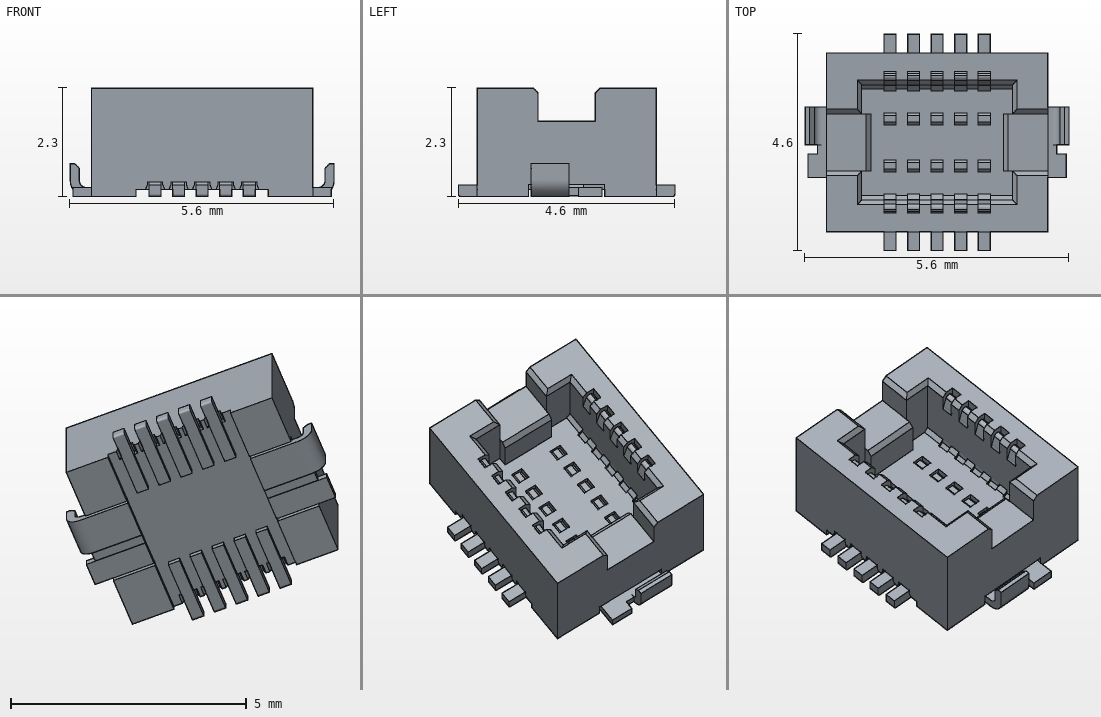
import cadquery as cq
import math

overall_length = 5.6
overall_width = 4.6
height = 2.3

body_length = 4.7
body_width = 3.8
bevel = 0.1

cavity_length = 3.205
cavity_width = 2.44
floor_z = 0.8
floor_bevel = 0.09
end_flare = 0.09

notch_width = 1.21
shelf_z = 1.6
shelf_gap = 2.81

recess_length = 2.8
recess_height = 0.145

contacts_per_row = 5
row_span = 2.0
pitch = row_span / (contacts_per_row - 1)
contact_width = 0.26
tail_height = 0.245
tail_inner_y = 0.895
tail_round = 0.05

pocket_back_y = 1.5
pocket_back_z = 2.07
crest_heel_y = 1.46
crest_heel_z = 2.15
crest_back_y = 1.42
crest_front_y = 1.31
crest_z = 2.18
crest_shoulder_z = 2.13
crest_bulge_z = 2.17
foot_y = 1.25
foot_bend_y = 1.24
foot_bend_z = 1.89
foot_z = 1.93
pocket_bottom_z = 1.855

groove_inner_y = 1.09
groove_depth = 0.1
groove_bend_y = 1.21
groove_bend_height = 0.01

window_inner_y = 0.37
window_outer_y = 0.63
window_slope = 0.06
window_crest_depth = 0.07
window_edge_depth = 0.135

opening_top_z = 0.31
opening_flare_z = 0.26
opening_top_width = 0.325
opening_bottom_width = 0.415
opening_depth = 0.2
ramp_length = 0.07

clip_thickness = 0.195
clip_back_y = 0.755
clip_front_y = -0.75
hook_front_y = -0.05
hook_height = 0.7
hook_bend_radius = 0.335
foot_back_y = -0.245
foot_end_x = 2.745
neck_x = 2.54
neck_underside_z = 0.015
tongue_front_y = -0.36
tongue_end_x = 2.13
slot_width = 1.61
slot_height = 0.25

wall_y = cavity_width / 2
body_side_y = body_width / 2
body_end_x = body_length / 2
contact_xs = [(i - (contacts_per_row - 1) / 2) * pitch for i in range(contacts_per_row)]


def block(x_min, x_max, y_min, y_max, z_min, z_max):
    """Axis-aligned box between the given limits."""
    size = (x_max - x_min, y_max - y_min, z_max - z_min)
    return cq.Workplane("XY").box(*size, centered=False).translate((x_min, y_min, z_min))


def prism_along_x(points, length):
    """Extrude a (y, z) outline along X, centred on X = 0."""
    return cq.Workplane("YZ").polyline(points).close().extrude(length / 2, both=True)


def both_ends(solid):
    """Combine a solid with its mirror image across X = 0."""
    return solid.union(solid.mirror("YZ"))


def both_rows(solid):
    """Copy a single contact feature to every position of both rows."""
    pair = solid.union(solid.mirror("XZ"))
    copies = cq.Workplane("XY")
    for x in contact_xs:
        copies = copies.add(pair.translate((x, 0, 0)))
    return copies.combine()


def make_cavity():
    """Rectangular cavity with a flared rim, floor bevels and end shelves left standing."""
    half_length = cavity_length / 2
    half_gap = shelf_gap / 2
    half_notch = notch_width / 2
    outline = [
        (-wall_y + floor_bevel, floor_z),
        (wall_y - floor_bevel, floor_z),
        (wall_y, floor_z + floor_bevel),
        (wall_y, height),
        (-wall_y, height),
        (-wall_y, floor_z + floor_bevel),
    ]
    cavity = prism_along_x(outline, cavity_length)
    flare = (
        cq.Workplane("XY", origin=(0, 0, height - bevel))
        .rect(cavity_length, cavity_width)
        .workplane(offset=bevel)
        .rect(cavity_length + 2 * end_flare, cavity_width + 2 * bevel)
        .loft(ruled=True)
    )
    shelf = (
        block(half_gap, half_length, -half_notch, half_notch, floor_z, shelf_z)
        .edges("<X and >Z")
        .chamfer(bevel)
    )
    return cavity.cut(both_ends(shelf)).union(flare)


def make_end_notches():
    """Channel along X through both end walls, bevelled at its top edges."""
    half = notch_width / 2
    outline = [
        (-half, shelf_z),
        (half, shelf_z),
        (half, height - bevel),
        (half + bevel, height),
        (-half - bevel, height),
        (-half, height - bevel),
    ]
    return prism_along_x(outline, body_length)


def make_contact_pocket():
    """Pocket in the wall whose lower surface is the curved contact crest."""
    crest_mid_y = (crest_front_y + crest_back_y) / 2
    return (
        cq.Workplane("YZ")
        .moveTo(wall_y - bevel, height)
        .lineTo(pocket_back_y, height)
        .lineTo(pocket_back_y, pocket_back_z)
        .lineTo(crest_heel_y, crest_heel_z)
        .lineTo(crest_back_y, crest_z)
        .threePointArc((crest_mid_y, crest_bulge_z), (crest_front_y, crest_shoulder_z))
        .lineTo(foot_y, foot_z)
        .threePointArc((foot_bend_y, foot_bend_z), (wall_y, pocket_bottom_z))
        .lineTo(wall_y - bevel, pocket_bottom_z)
        .close()
        .extrude(contact_width / 2, both=True)
    )


def make_floor_groove():
    """Shallow groove across the bevel between floor and wall."""
    outline = [
        (wall_y, floor_z + floor_bevel),
        (groove_bend_y, floor_z + groove_bend_height),
        (groove_inner_y, floor_z - groove_depth),
        (groove_inner_y, floor_z + floor_bevel),
    ]
    return prism_along_x(outline, contact_width)


def make_floor_window():
    """Window in the floor with the flat-topped contact bend at its bottom."""
    crest = floor_z - window_crest_depth
    edge = floor_z - window_edge_depth
    outline = [
        (window_inner_y, floor_z),
        (window_inner_y, edge),
        (window_inner_y + window_slope, crest),
        (window_outer_y - window_slope, crest),
        (window_outer_y, edge),
        (window_outer_y, floor_z),
    ]
    return prism_along_x(outline, contact_width)


def make_tail_opening():
    """Notch in the outer wall around a tail, flared towards the bottom."""
    half_top = opening_top_width / 2
    half_bottom = opening_bottom_width / 2
    outline = [
        (-half_bottom, recess_height),
        (half_bottom, recess_height),
        (half_top, opening_flare_z),
        (half_top, opening_top_z),
        (-half_top, opening_top_z),
        (-half_top, opening_flare_z),
    ]
    opening = cq.Workplane("XZ").polyline(outline).close().extrude(-opening_depth)
    return opening.translate((0, body_side_y - opening_depth, 0))


def make_tail():
    """Flat solder tail with a ramp rising into the wall."""
    tip_y = overall_width / 2
    inner_y = body_side_y - opening_depth
    half = contact_width / 2
    tail = block(-half, half, tail_inner_y, tip_y, 0, tail_height)
    tail = tail.edges(">Y and <Z").fillet(tail_round)
    ramp = prism_along_x(
        [(inner_y, tail_height), (inner_y + ramp_length, tail_height), (inner_y, opening_top_z)],
        contact_width,
    )
    return tail.union(ramp)


def make_clip():
    """Solder clip at the +X end: flat plate, upturned hook, foot and tongue."""
    tip_x = overall_length / 2
    inner_x = recess_length / 2
    hook_x = tip_x - clip_thickness
    bend_x = tip_x - hook_bend_radius
    inner_radius = hook_bend_radius - clip_thickness
    diagonal = math.sqrt(0.5)
    arc_middle = (
        bend_x + hook_bend_radius * diagonal,
        hook_bend_radius * (1 - diagonal),
    )
    inner_arc_middle = (
        bend_x + inner_radius * diagonal,
        hook_bend_radius - inner_radius * diagonal,
    )
    hook = (
        cq.Workplane("XZ", origin=(0, clip_back_y, 0))
        .moveTo(inner_x, 0)
        .lineTo(bend_x, 0)
        .threePointArc(arc_middle, (tip_x, hook_bend_radius))
        .lineTo(tip_x, hook_height)
        .lineTo(hook_x + bevel, hook_height)
        .lineTo(hook_x, hook_height - bevel)
        .lineTo(hook_x, hook_bend_radius)
        .threePointArc(inner_arc_middle, (bend_x, clip_thickness))
        .lineTo(inner_x, clip_thickness)
        .close()
        .extrude(clip_back_y - hook_front_y)
    )
    neck = block(inner_x, neck_x, foot_back_y, hook_front_y, neck_underside_z, clip_thickness)
    foot = block(inner_x, foot_end_x, clip_front_y, foot_back_y, 0, clip_thickness)
    rise = slot_height - clip_thickness
    tongue = (
        cq.Workplane("XZ", origin=(0, -tongue_front_y, 0))
        .moveTo(inner_x, clip_thickness)
        .lineTo(tongue_end_x, clip_thickness)
        .lineTo(tongue_end_x - rise, slot_height)
        .lineTo(inner_x, slot_height)
        .close()
        .extrude(-2 * tongue_front_y)
    )
    return hook.union(neck).union(foot).union(tongue)


def make_clip_slot():
    """Slot under the +X end wall that receives the clip."""
    half = slot_width / 2
    return block(recess_length / 2, body_end_x, -half, half, 0, slot_height)


body = block(-body_end_x, body_end_x, -body_side_y, body_side_y, 0, height)
recess_end_x = recess_length / 2
recess = block(-recess_end_x, recess_end_x, -body_side_y, body_side_y, 0, recess_height)

body = body.cut(make_cavity()).cut(make_end_notches()).cut(recess)
body = body.cut(both_ends(make_clip_slot()))
for cutter in (make_contact_pocket(), make_floor_groove(), make_floor_window(), make_tail_opening()):
    body = body.cut(both_rows(cutter))

result = body.union(both_rows(make_tail())).union(both_ends(make_clip()))